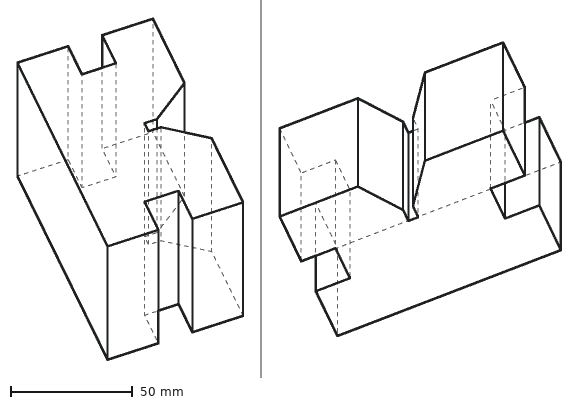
import cadquery as cq

length = 100.0
width = 60.0
height = 80.0

slot_depth = 15.3
slot_width = 15.0

vee_width = 30.0
vee_depth = 17.3
relief_width = 4.4
relief_depth = 22.8

back = width / 2


def side_slot(side):
    """Slot cutter for the -X (side = -1) or +X (side = 1) face."""
    center_x = side * (length - slot_depth) / 2
    return cq.Workplane("XY").box(slot_depth, slot_width, height).translate((center_x, 0, 0))


def vee_groove():
    """Cutter for the V groove together with its relief slot."""
    return (
        cq.Workplane("XY")
        .workplane(offset=-height / 2)
        .polyline([
            (-vee_width / 2, back),
            (-relief_width / 2, back - vee_depth),
            (-relief_width / 2, back - relief_depth),
            (relief_width / 2, back - relief_depth),
            (relief_width / 2, back - vee_depth),
            (vee_width / 2, back),
        ])
        .close()
        .extrude(height)
    )


result = cq.Workplane("XY").box(length, width, height)
for side in (-1, 1):
    result = result.cut(side_slot(side))
result = result.cut(vee_groove())